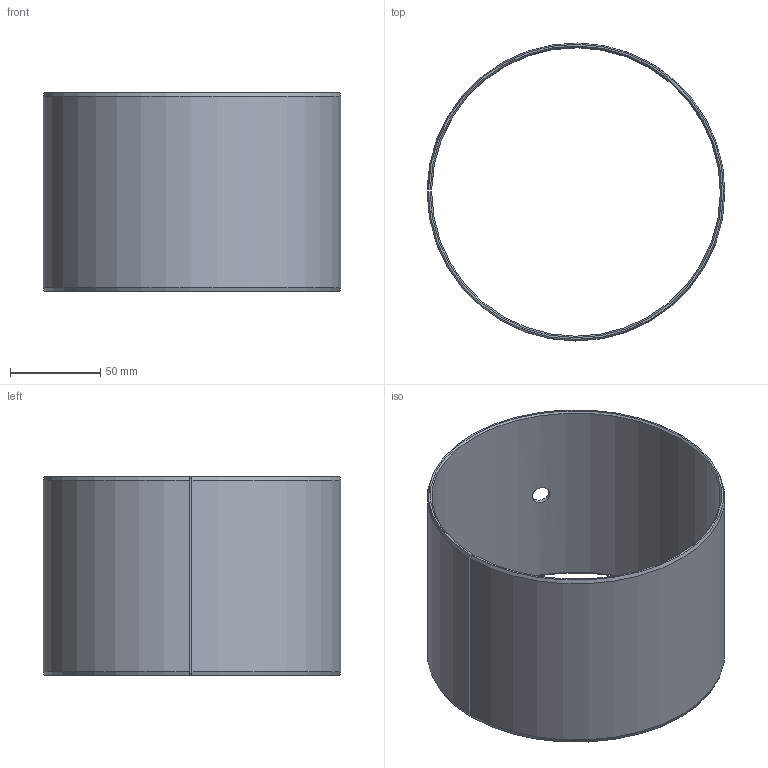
import cadquery as cq
import math

outer_diameter = 165.0
height = 110.0
wall = 2.5
outer_radius = outer_diameter / 2
inner_radius = outer_radius - wall

outer_bevel_height = 2.0
inner_bevel_height = 1.0
outer_bevel_depth = 0.7
inner_bevel_depth = 0.8

slit_angle = 1.0
sweep_angle = 360.0 - slit_angle

hole_diameter = 10.0
hole_angle = 59.0


def make_sleeve():
    """Sweep the beveled wall section around Z from -X through -Y, +X and +Y."""
    section = (
        cq.Workplane("XZ")
        .moveTo(-inner_radius - inner_bevel_depth, 0)
        .lineTo(-outer_radius + outer_bevel_depth, 0)
        .lineTo(-outer_radius, outer_bevel_height)
        .lineTo(-outer_radius, height - outer_bevel_height)
        .lineTo(-outer_radius + outer_bevel_depth, height)
        .lineTo(-inner_radius - inner_bevel_depth, height)
        .lineTo(-inner_radius, height - inner_bevel_height)
        .lineTo(-inner_radius, inner_bevel_height)
        .close()
    )
    return section.revolve(sweep_angle, (0, 0, 0), (0, 1, 0))


def make_hole():
    """Cylinder from the axis outward in the direction of the hole."""
    angle = math.radians(hole_angle)
    center = cq.Vector(0, 0, height / 2)
    outward = cq.Vector(math.cos(angle), math.sin(angle), 0)
    return cq.Solid.makeCylinder(hole_diameter / 2, outer_diameter, center, outward)


result = make_sleeve().cut(make_hole())